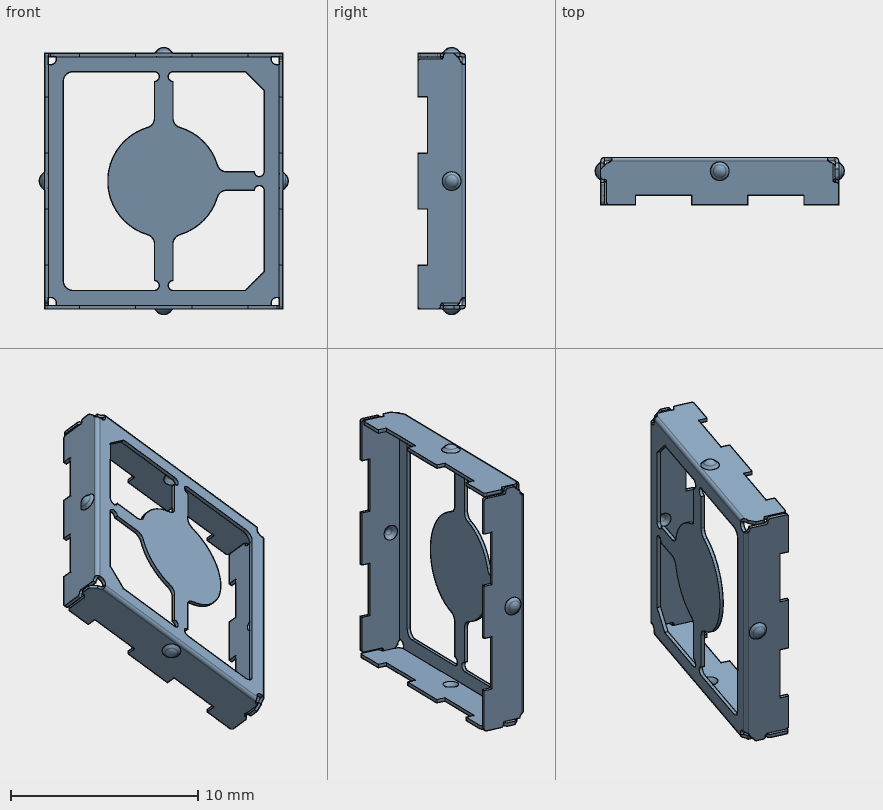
import cadquery as cq
import math

overall_width = 13.31
overall_height = 14.27
depth = 2.54
sheet = 0.2
diagonal = math.sqrt(0.5)

dimple_height = 0.3
dimple_radius = 0.5
dimple_depth = 0.74

frame_width = overall_width - 2 * dimple_height
frame_height = overall_height - 2 * dimple_height

foot_width = 3.0
slot_width = foot_width
slot_depth = 0.5

end_setback = 0.31
upper_tab_start = 0.63
upper_tab_end = 1.18
lower_tab_start = 1.34
tab_fillet = 0.14

relief_inset = 0.31
relief_radius = 0.3

rim = 1.0
window_chamfer = 1.0
window_fillet = 0.5
disc_radius = 3.0
arm_width = 1.0
arm_fillet = 0.5
bite_radius = 0.25


def make_window_cut():
    """Window opening as a prism, less the disc and its arms."""
    window_width = frame_width - 2 * rim
    window_height = frame_height - 2 * rim
    half_width = window_width / 2
    half_height = window_height / 2

    def block(width, height, x=0):
        return cq.Workplane("XZ").center(x, 0).rect(width, height).extrude(sheet)

    opening = block(window_width, window_height)
    opening = opening.edges("|Y and <X").fillet(window_fillet)
    opening = opening.edges("|Y and >X").chamfer(window_chamfer)

    holder = cq.Workplane("XZ").circle(disc_radius).extrude(sheet)
    holder = holder.union(block(arm_width, window_height))
    holder = holder.union(block(half_width, arm_width, half_width / 2))
    near_disc = cq.selectors.BoxSelector(
        (-disc_radius, -2 * sheet, -disc_radius), (disc_radius, sheet, disc_radius))
    holder = holder.edges("|Y").edges(near_disc).fillet(arm_fillet)

    bite_points = []
    for side in (-1, 1):
        edge = side * arm_width / 2
        bite_points.append((half_width - bite_radius, edge))
        for end in (-1, 1):
            bite_points.append((edge, end * (half_height - bite_radius)))
    bites = cq.Workplane("XZ").pushPoints(bite_points).circle(bite_radius).extrude(sheet)

    return opening.cut(holder).union(bites)


def make_plate():
    """Flat plate between the wall bends, with its window and corner reliefs."""
    plate = (
        cq.Workplane("XZ")
        .rect(frame_width - 2 * sheet, frame_height - 2 * sheet)
        .extrude(sheet)
    )
    reliefs = (
        cq.Workplane("XZ")
        .rect(frame_width - 2 * relief_inset, frame_height - 2 * relief_inset, forConstruction=True)
        .vertices()
        .circle(relief_radius)
        .extrude(sheet)
    )
    return plate.cut(reliefs).cut(make_window_cut())


def make_dimple_solid(offset, base):
    """Dimple surface moved inward by offset, revolved about Z and closed at z = base."""
    tip_radius = (dimple_radius - dimple_height) / (1 / diagonal - 1)
    tip_centre = dimple_height - tip_radius
    radius = tip_radius - offset
    tangent = radius * diagonal
    arc_middle = math.radians((45 + 90) / 2)
    base_radius = dimple_radius - offset / diagonal - base
    return (
        cq.Workplane("XZ")
        .moveTo(0, base)
        .lineTo(base_radius, base)
        .lineTo(tangent, tip_centre + tangent)
        .threePointArc(
            (radius * math.cos(arc_middle), tip_centre + radius * math.sin(arc_middle)),
            (0, tip_centre + radius),
        )
        .close()
        .revolve(360, (0, 0), (0, 1))
    )


def make_wall(length, distance):
    """Wall on the +Z side, its outer face at z = distance, its upper tab at -X."""
    half = length / 2
    inner = half - end_setback
    chamfer_top = upper_tab_start - end_setback

    outline = (
        cq.Workplane("XY")
        .polyline([
            (-inner, 0),
            (-inner, -chamfer_top),
            (-half, -upper_tab_start),
            (-half, -upper_tab_end),
            (-inner, -upper_tab_end),
            (-inner, -depth),
            (half, -depth),
            (half, -lower_tab_start),
            (inner, -lower_tab_start),
            (inner, 0),
        ])
        .close()
        .extrude(-sheet)
    )
    below_chamfer = cq.selectors.BoxSelector(
        (-length, -2 * depth, -2 * sheet), (length, -upper_tab_start - sheet, sheet))
    outline = outline.edges("|Z").edges(below_chamfer).fillet(tab_fillet)

    bend_middle = sheet * (1 - diagonal)
    section = (
        cq.Workplane("YZ")
        .moveTo(0, -sheet)
        .threePointArc((-bend_middle, -bend_middle), (-sheet, 0))
        .lineTo(-depth, 0)
        .lineTo(-depth, -sheet)
        .close()
        .extrude(half, both=True)
    )
    wall = section.intersect(outline)

    relief_x = half - relief_inset
    reliefs = (
        cq.Workplane("XY")
        .pushPoints([(-relief_x, 0), (relief_x, 0)])
        .circle(relief_radius)
        .extrude(-sheet)
    )
    slot_x = (foot_width + slot_width) / 2
    slots = (
        cq.Workplane("XY")
        .pushPoints([(-slot_x, -depth), (slot_x, -depth)])
        .rect(slot_width, 2 * slot_depth)
        .extrude(-sheet)
    )
    dimple_place = (0, -dimple_depth, 0)
    bump = make_dimple_solid(0, 0).translate(dimple_place)
    hollow = make_dimple_solid(sheet, -sheet).translate(dimple_place)

    wall = wall.cut(reliefs).cut(slots).union(bump).cut(hollow)
    return wall.translate((0, 0, distance))


result = make_plate()
for quarter in range(4):
    if quarter % 2 == 0:
        wall = make_wall(frame_width, frame_height / 2)
    else:
        wall = make_wall(frame_height, frame_width / 2)
    result = result.union(wall.rotate((0, 0, 0), (0, 1, 0), -90 * quarter))